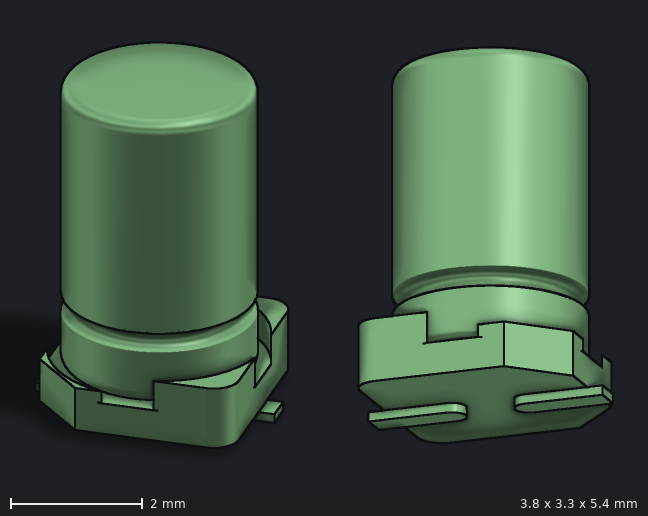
import cadquery as cq
import math

base_width = 3.3
base_bottom = 0.15
base_low_top = 0.865
base_high_top = 1.155
corner_chamfer = 0.815
corner_radius = 0.4

recess_radius = 1.7
recess_floor = 0.665

total_height = 5.4
can_radius = 3.0 / 2
can_edge_radius = 0.2
groove_radius = 0.15
groove_height = 1.7
groove_edge_radius = 0.015

terminal_span = 3.8
terminal_width = 0.46
terminal_gap = 0.8

base_half = base_width / 2
recess_opening = math.sqrt(recess_radius**2 - base_half**2)


def make_base():
    """Square base with two chamfered corners, two rounded ones and a raised +X end."""
    base = (
        cq.Workplane("XY", origin=(0, 0, base_bottom))
        .rect(base_width, base_width)
        .extrude(base_high_top - base_bottom)
    )
    base = base.edges("|Z and <X").chamfer(corner_chamfer)
    base = base.edges("|Z and >X").fillet(corner_radius)
    lowered_end = cq.Workplane("XY", origin=(-base_half, 0, base_low_top)).box(
        base_half + recess_opening,
        base_width,
        base_high_top - base_low_top,
        centered=(False, True, False),
    )
    recess = (
        cq.Workplane("XY", origin=(0, 0, recess_floor))
        .circle(recess_radius)
        .extrude(base_high_top - recess_floor)
    )
    return base.cut(lowered_end).cut(recess)


def make_groove():
    """Ring to cut from the can: a half-round crimp groove with rounded rims."""
    center_distance = groove_radius + groove_edge_radius
    rim_rise = math.sqrt(center_distance**2 - groove_edge_radius**2)
    touch_ratio = groove_radius / center_distance
    touch_radius = can_radius - touch_ratio * groove_edge_radius
    touch_rise = touch_ratio * rim_rise
    return (
        cq.Workplane("XZ", origin=(0, 0, groove_height))
        .moveTo(can_radius, -rim_rise)
        .radiusArc((touch_radius, -touch_rise), -groove_edge_radius)
        .threePointArc((can_radius - groove_radius, 0), (touch_radius, touch_rise))
        .radiusArc((can_radius, rim_rise), -groove_edge_radius)
        .lineTo(can_radius + groove_radius, rim_rise)
        .lineTo(can_radius + groove_radius, -rim_rise)
        .close()
        .revolve(360, (0, 0), (0, 1))
    )


def make_can():
    """Cylinder with rounded ends and a crimp groove."""
    can = (
        cq.Workplane("XY", origin=(0, 0, recess_floor))
        .circle(can_radius)
        .extrude(total_height - recess_floor)
        .edges("%CIRCLE")
        .fillet(can_edge_radius)
    )
    return can.cut(make_groove())


def make_terminal(side):
    """Flat terminal under the base with a round inner end; side is -1 or 1."""
    half_width = terminal_width / 2
    outer_x = side * terminal_span / 2
    inner_x = side * terminal_gap / 2
    round_start_x = inner_x + side * half_width
    return (
        cq.Workplane("XY")
        .moveTo(outer_x, -half_width)
        .lineTo(round_start_x, -half_width)
        .threePointArc((inner_x, 0), (round_start_x, half_width))
        .lineTo(outer_x, half_width)
        .close()
        .extrude(base_bottom)
    )


result = make_base().union(make_can())
for terminal_side in (-1, 1):
    result = result.union(make_terminal(terminal_side))